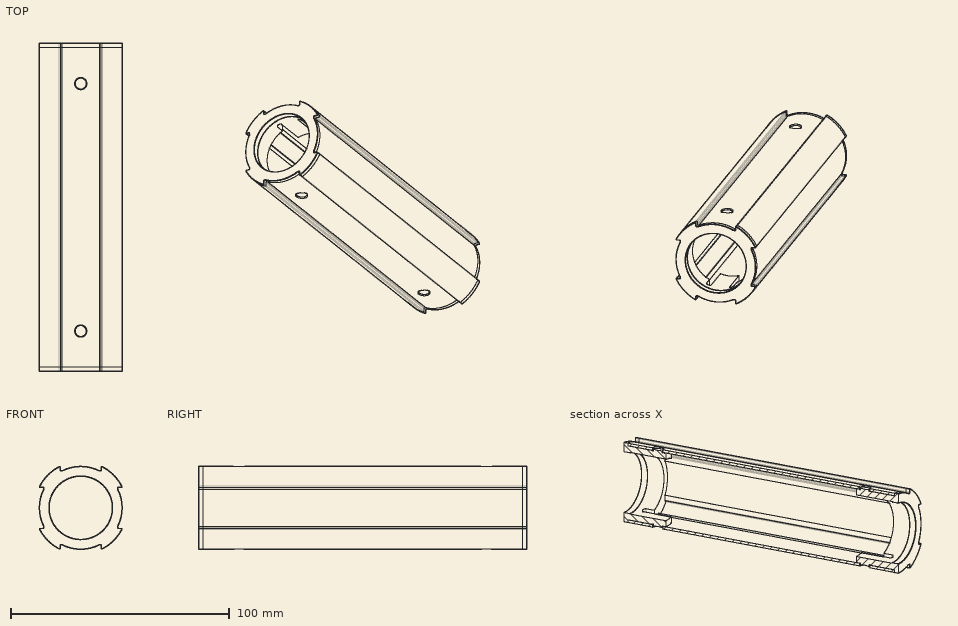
import cadquery as cq
import math

total_length = 150.0
flange_thickness = 2.0
tube_length = total_length - 2 * flange_thickness

side_radius = 19.0
lobe_radius = 21.3
lobe_wall_offset = 9.35
groove_floor_offset = 17.0
groove_fillet = 0.35
wall_thickness = 1.5

bore_radius = 14.6
lip_radius = 14.4
lip_depth = 3.4
end_chamfer = 0.2
plug_depth = 12.3

tongue_depth = 23.0
tongue_width = 8.8
slit_width = 2.1
slit_start = 6.7

hole_radius = 2.8
button_radius = 2.5
button_from_end = 18.5
button_height = 18.5
dish_radius = 14.0
dish_depth = 0.25

cut_reach = 2 * lobe_radius


def turned(point, quarter_turns):
    """Rotate a section point about the axis by quarter turns."""
    x, z = point
    for _ in range(quarter_turns):
        x, z = -z, x
    return x, z


def lobed_bar(start, end, inset=0.0):
    """Bar with the tube's outer section, shrunk by inset, from Y = start to Y = end."""
    side = side_radius - inset
    lobe = lobe_radius - inset
    floor = groove_floor_offset - inset
    wall = lobe_wall_offset + inset
    floor_edge = math.sqrt(side**2 - floor**2)
    lobe_tip = math.sqrt(lobe**2 - wall**2)
    lobe_middle = lobe / math.sqrt(2)

    outline = cq.Workplane("XZ", origin=(0, end, 0)).moveTo(floor, -floor_edge)
    for quarter in range(4):
        outline = outline.threePointArc(turned((side, 0), quarter), turned((floor, floor_edge), quarter))
        outline = outline.lineTo(*turned((floor, wall), quarter))
        outline = outline.lineTo(*turned((lobe_tip, wall), quarter))
        outline = outline.threePointArc(
            turned((lobe_middle, lobe_middle), quarter), turned((wall, lobe_tip), quarter)
        )
        outline = outline.lineTo(*turned((wall, floor), quarter))
        outline = outline.lineTo(*turned((floor_edge, floor), quarter))
    bar = outline.close().extrude(end - start)

    def on_lobe_wall(edge):
        center = edge.Center()
        return math.isclose(min(abs(center.x), abs(center.z)), wall, abs_tol=1e-3)

    return bar.edges("|Y").filter(on_lobe_wall).fillet(groove_fillet)


def round_bar(radius, start, end):
    """Cylinder about the Y axis from Y = start to Y = end."""
    return cq.Workplane("XZ", origin=(0, end, 0)).circle(radius).extrude(end - start)


def make_tube():
    half = tube_length / 2
    hole_y = total_length / 2 - button_from_end
    holes = (
        cq.Workplane("XY")
        .pushPoints([(0, -hole_y), (0, hole_y)])
        .circle(hole_radius)
        .extrude(cut_reach, both=True)
    )
    return lobed_bar(-half, half).cut(lobed_bar(-half, half, wall_thickness)).cut(holes)


def make_tongue_clearance(end_y):
    """Space around the tongues: round-ended slits and everything past the plug wall."""
    slit_length = tongue_depth - slit_start
    slit_x = (tongue_width + slit_width) / 2
    clearance = cq.Workplane("XY").box(cut_reach, tongue_depth - plug_depth, cut_reach)
    clearance = clearance.translate((0, end_y + (plug_depth + tongue_depth) / 2, 0))
    tongues = cq.Workplane("XY").box(tongue_width, 2 * slit_length, cut_reach)
    clearance = clearance.cut(tongues.translate((0, end_y + tongue_depth, 0)))
    slits = (
        cq.Workplane("XY")
        .pushPoints([(-slit_x, end_y + tongue_depth), (slit_x, end_y + tongue_depth)])
        .slot2D(2 * slit_length, slit_width, 90)
        .extrude(cut_reach, both=True)
    )
    return clearance.union(slits)


def make_buttons(end_y):
    """Dished snap buttons on both tongues, as one pin to be bored out with the plug."""
    button_y = end_y + button_from_end
    buttons = cq.Workplane("XY", origin=(0, button_y, 0)).circle(button_radius)
    buttons = buttons.extrude(button_height, both=True)
    dish_z = button_height - dish_depth + dish_radius
    dishes = (
        cq.Workplane("YZ")
        .pushPoints([(button_y, -dish_z), (button_y, dish_z)])
        .circle(dish_radius)
        .extrude(cut_reach, both=True)
    )
    return buttons.cut(dishes)


def make_plug():
    """Plug for the -Y end."""
    end_y = -total_length / 2
    tube_end_y = end_y + flange_thickness
    tongue_end_y = end_y + tongue_depth
    flange = lobed_bar(end_y, tube_end_y)
    flange = flange.cut(round_bar(lip_radius, end_y, tube_end_y))
    flange = flange.faces("<Y").chamfer(end_chamfer)
    body = lobed_bar(tube_end_y, tongue_end_y, wall_thickness)
    body = body.cut(make_tongue_clearance(end_y)).union(make_buttons(end_y))
    body = body.cut(round_bar(lip_radius, end_y, end_y + lip_depth))
    body = body.cut(round_bar(bore_radius, end_y + lip_depth, tongue_end_y))
    return flange.union(body)


tube = make_tube()
plugs = []
for turn in (0, 180):
    plugs.append(make_plug().rotate((0, 0, 0), (0, 0, 1), turn))

result = cq.Compound.makeCompound([tube.val(), *[plug.val() for plug in plugs]])